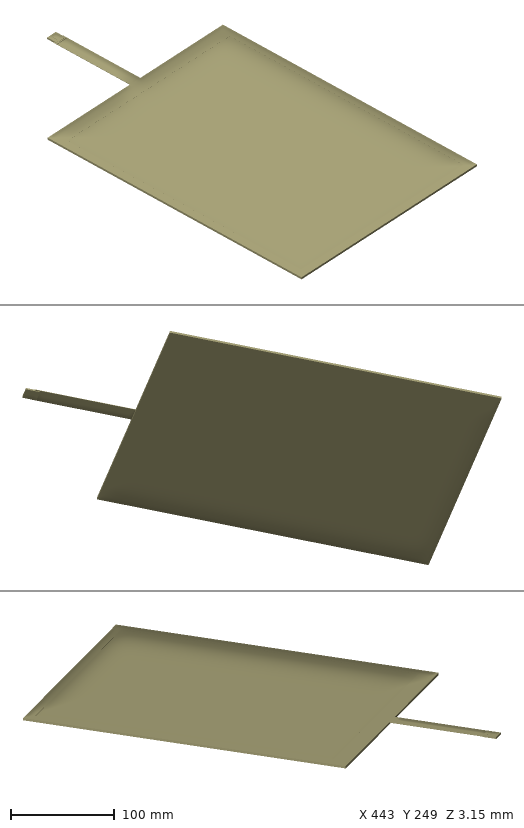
import cadquery as cq

total_length = 443.0
panel_width = 249.0
total_height = 3.15

panel_length = 333.0
panel_thickness = 2.4
panel_start = total_length - panel_length
border = 9.5
tail_side_border = 17.3
recess_depth = 0.1

tail_width = 14.5
tail_thickness = 0.5
tail_start = 9.0
panel_overlap = 2.0
tail_bottom = panel_thickness - recess_depth - tail_thickness

connector_length = 14.0
connector_width = 12.5
connector_bottom = 1.0
connector_top = 2.9

latch_start = 3.0
latch_shoulder = 9.7
latch_end = 13.0
latch_stem_width = 5.5
latch_nose_radius = 1.8
latch_head_width = 7.5


def centred_block(x_start, x_end, width, z_bottom, z_top):
    """Box spanning the given X and Z ranges, centred on Y = 0."""
    return (
        cq.Workplane("XY")
        .box(x_end - x_start, width, z_top - z_bottom, centered=(False, True, False))
        .translate((x_start, 0, z_bottom))
    )


def make_panel():
    """Flat panel with a shallow recessed active area."""
    panel = centred_block(panel_start, total_length, panel_width, 0, panel_thickness)
    active_area = centred_block(
        panel_start + tail_side_border,
        total_length - border,
        panel_width - 2 * border,
        panel_thickness - recess_depth,
        panel_thickness,
    )
    return panel.cut(active_area)


def make_tail():
    """Thin cable running from inside the connector into the panel edge."""
    return centred_block(
        tail_start,
        panel_start + panel_overlap,
        tail_width,
        tail_bottom,
        tail_bottom + tail_thickness,
    )


def make_connector():
    """Connector body topped by the round-nosed stem and head of the latch."""
    body = centred_block(0, connector_length, connector_width, connector_bottom, connector_top)
    stem = centred_block(latch_start, latch_shoulder, latch_stem_width, connector_top, total_height)
    stem = stem.edges("|Z and <X").fillet(latch_nose_radius)
    head = centred_block(latch_shoulder, latch_end, latch_head_width, connector_top, total_height)
    return body.union(stem).union(head)


result = make_panel().union(make_tail()).union(make_connector())